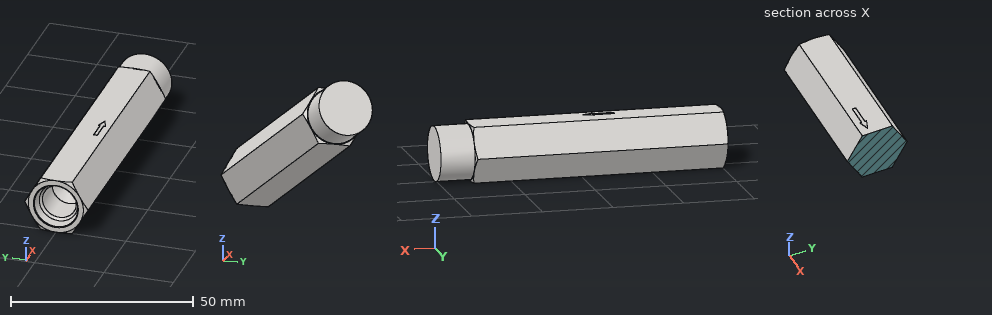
import cadquery as cq
import math

across_flats = 15.875
across_corners = across_flats / math.cos(math.radians(30))
total_length = 81.28
stub_length = 9.65
stub_diameter = 15.49
body_length = total_length - stub_length

bevel_face_diameter = across_flats
bevel_angle = 20

countersink_diameter = 12.95
countersink_depth = 0.2
taper_start_diameter = 12.5
taper_end_diameter = 11.1
taper_depth = 2.45
drill_diameter = 9.73
step_depth = 0.75
drill_depth = 12.0
drill_point_angle = 118

arrow_tail_x = 29.9
arrow_length = 8.7
arrow_center_y = -1.95
arrow_shaft_width = 1.0
arrow_head_length = 2.8
arrow_head_width = 2.0
arrow_depth = 0.1


def revolved_about_x(points):
    """Revolve a closed (x, radius) outline about the X axis."""
    return cq.Workplane("XY").polyline(points).close().revolve(360, (0, 0, 0), (1, 0, 0))


def hex_body():
    """Hexagonal bar with its corners bevelled at both ends."""
    bar = cq.Workplane("YZ").polygon(6, across_corners).extrude(body_length)
    face_radius = bevel_face_diameter / 2
    outer_radius = across_corners
    bevel_length = (outer_radius - face_radius) * math.tan(math.radians(bevel_angle))
    bevel_envelope = revolved_about_x([
        (0, 0),
        (0, face_radius),
        (bevel_length, outer_radius),
        (body_length - bevel_length, outer_radius),
        (body_length, face_radius),
        (body_length, 0),
    ])
    return bar.intersect(bevel_envelope)


def stub():
    """Plain round end at +X."""
    return cq.Workplane("YZ", origin=(body_length, 0, 0)).circle(stub_diameter / 2).extrude(stub_length)


def port():
    """Volume of the stepped blind port."""
    drill_radius = drill_diameter / 2
    point_length = drill_radius / math.tan(math.radians(drill_point_angle / 2))
    return revolved_about_x([
        (0, 0),
        (0, countersink_diameter / 2),
        (countersink_depth, taper_start_diameter / 2),
        (taper_depth, taper_end_diameter / 2),
        (taper_depth + step_depth, drill_radius),
        (drill_depth, drill_radius),
        (drill_depth + point_length, 0),
    ])


def flow_arrow():
    """Volume of the engraved arrow."""
    tip_x = arrow_length
    head_x = arrow_length - arrow_head_length
    shaft_half = arrow_shaft_width / 2
    head_half = arrow_head_width / 2
    top_flat = cq.Workplane("XY", origin=(arrow_tail_x, arrow_center_y, across_flats / 2))
    outline = top_flat.polyline([
        (0, -shaft_half),
        (head_x, -shaft_half),
        (head_x, -head_half),
        (tip_x, 0),
        (head_x, head_half),
        (head_x, shaft_half),
        (0, shaft_half),
    ]).close()
    return outline.extrude(-arrow_depth)


result = hex_body().union(stub()).cut(port()).cut(flow_arrow())